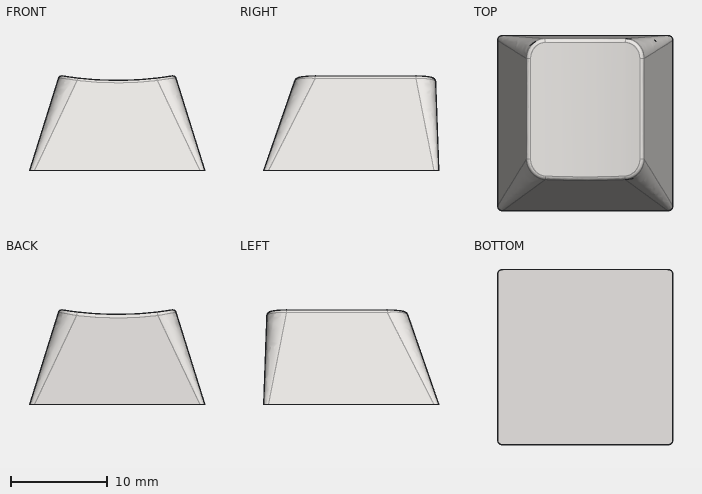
import cadquery as cq

base_side = 18.1
base_corner_radius = 0.5

wall_height = 10.14
side_inset = 3.17
front_inset = 3.51
back_inset = 0.36
top_corner_radius = 2.14
top_width = base_side - 2 * side_inset
top_depth = base_side - front_inset - back_inset
top_center_y = (front_inset - back_inset) / 2

dish_radius = 34.39
dish_bottom_height = 9.32
rim_radius = 0.4


def rounded_rectangle(width, depth, corner_radius, center_y, height):
    """Closed rounded outline lying in a horizontal plane."""
    sketch = cq.Sketch().rect(width, depth).vertices().fillet(corner_radius)
    return sketch.moved(cq.Location(cq.Vector(0, center_y, height)))


def tapered_body():
    base = rounded_rectangle(base_side, base_side, base_corner_radius, 0, 0)
    top = rounded_rectangle(top_width, top_depth, top_corner_radius, top_center_y, wall_height)
    return cq.Workplane("XY").placeSketch(base, top).loft(ruled=True)


def dish_cutter():
    return (
        cq.Workplane("XZ")
        .center(0, dish_bottom_height + dish_radius)
        .circle(dish_radius)
        .extrude(base_side, both=True)
    )


dished_body = tapered_body().cut(dish_cutter())
result = dished_body.faces(">Z").edges().fillet(rim_radius)